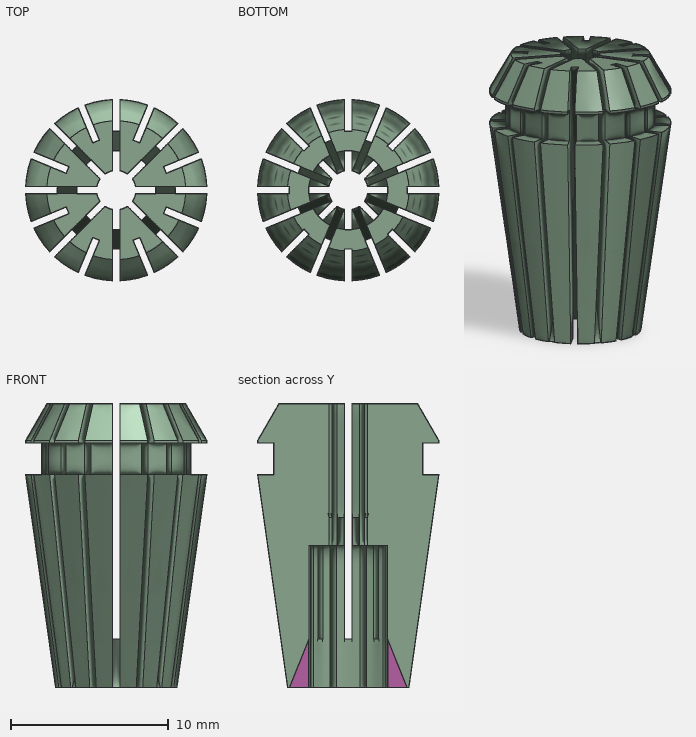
import cadquery as cq
import math

LENGTH = 18.0
OUTER_RADIUS = 11.5 / 2

BODY_HEIGHT = 13.5
BODY_HALF_ANGLE = 8.0
BODY_BASE_RADIUS = OUTER_RADIUS - BODY_HEIGHT * math.tan(math.radians(BODY_HALF_ANGLE))

GROOVE_WIDTH = 2.0
NECK_RADIUS = 4.73

LAND_HEIGHT = 0.16
HEAD_HALF_ANGLE = 30.0
HEAD_BASE = BODY_HEIGHT + GROOVE_WIDTH
CONE_BASE = HEAD_BASE + LAND_HEIGHT
HEAD_TOP_RADIUS = OUTER_RADIUS - (LENGTH - CONE_BASE) * math.tan(math.radians(HEAD_HALF_ANGLE))

BORE_RADIUS = 1.25
RELIEF_RADIUS = 2.5
RELIEF_DEPTH = LENGTH / 2

SLOT_WIDTH = 0.45
SLOTS_PER_END = 8
SLOT_PITCH = 360.0 / SLOTS_PER_END

BASE_WEB_HEIGHT = 3.1
BASE_WEB_RADIUS = 3.75

TOP_WEB_HEIGHT = 7.2
TOP_WEB_RADIUS = 3.35


def turned_body():
    """Outer shape of the collet with its stepped bore."""
    half_section = [
        (RELIEF_RADIUS, 0),
        (BODY_BASE_RADIUS, 0),
        (OUTER_RADIUS, BODY_HEIGHT),
        (NECK_RADIUS, BODY_HEIGHT),
        (NECK_RADIUS, HEAD_BASE),
        (OUTER_RADIUS, HEAD_BASE),
        (OUTER_RADIUS, CONE_BASE),
        (HEAD_TOP_RADIUS, LENGTH),
        (BORE_RADIUS, LENGTH),
        (BORE_RADIUS, RELIEF_DEPTH),
        (RELIEF_RADIUS, RELIEF_DEPTH),
    ]
    return cq.Workplane("XZ").polyline(half_section).close().revolve()


def web_cone(end_z, end_radius, tip_radius, tip_z):
    """Solid of revolution, widest on an end face, that narrows along Z to the bore wall."""
    half_section = [(0, end_z), (end_radius, end_z), (tip_radius, tip_z), (0, tip_z)]
    return cq.Workplane("XZ").polyline(half_section).close().revolve()


def radial_slot(web, angle):
    """Full-height slot cutter from the axis past the rim, spared by the web, turned about Z."""
    cutter = cq.Workplane("XY").box(2 * OUTER_RADIUS, SLOT_WIDTH, LENGTH, centered=(False, True, False))
    return cutter.rotate((0, 0, 0), (0, 0, 1), angle).cut(web)


base_web = web_cone(0, BASE_WEB_RADIUS, RELIEF_RADIUS, BASE_WEB_HEIGHT)
top_web = web_cone(LENGTH, TOP_WEB_RADIUS, BORE_RADIUS, LENGTH - TOP_WEB_HEIGHT)

result = turned_body()
for index in range(SLOTS_PER_END):
    top_slot_angle = index * SLOT_PITCH
    base_slot_angle = top_slot_angle + SLOT_PITCH / 2
    result = result.cut(radial_slot(base_web, top_slot_angle))
    result = result.cut(radial_slot(top_web, base_slot_angle))